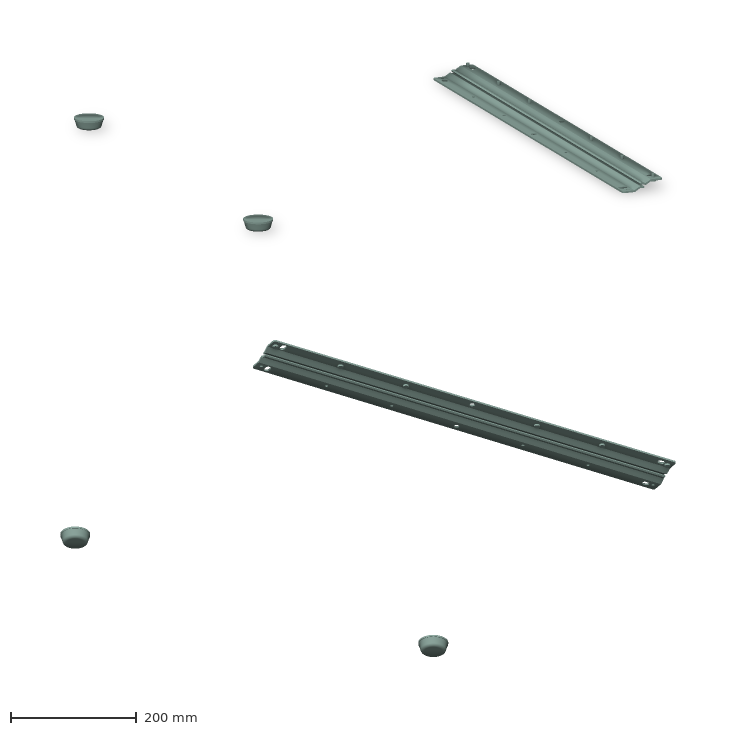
import cadquery as cq
import math

RAIL_LENGTH = 744.0
RAIL_WIDTH = 69.0
RAIL_HEIGHT = 18.0
RAIL_BACK_Y = 684.5
SHEET_THICKNESS = 3.0
CORNER_RADIUS = 4.0
BEND_Y = 14.0
SLOPE_ANGLE = math.radians(30)
SLOPE_LENGTH = 11.0
JOGGLE_ANGLE = math.radians(45)
LIP_LENGTH = 2.0
LIP_INSET = 2.0

RAIL_CENTRE_Y = RAIL_BACK_Y - RAIL_WIDTH / 2
RAIL_CENTRE_Z = RAIL_HEIGHT / 2
FLAT_Z = (RAIL_HEIGHT - SHEET_THICKNESS) / 2

SLOPE_GAP = 2 * (BEND_Y * math.sin(SLOPE_ANGLE) - FLAT_Z * math.cos(SLOPE_ANGLE))
LIP_OFFSET = SLOPE_GAP + SHEET_THICKNESS

HOLE_EDGE_DISTANCE = 10.5
HOLE_DIAMETER = 9.0
END_SLOT_X = 350.0
LONG_SLOT_LENGTH = 13.0
CROSS_SLOT_LENGTH = 15.0

STUD_END_X = 362.0
STUD_PITCH = 120.5
STUDS_PER_HALF = 3
STUD_EDGE_DISTANCE = 13.0
STUD_DIAMETER = 5.0
STUD_TOP_Z = 24.0
STUD_HEAD_DIAMETER = 10.0
STUD_HEAD_HEIGHT = 3.0
SMALL_HOLE_DIAMETER = 5.0

BUTTON_X = 331.0
FLANGE_DIAMETER = 47.5
FLANGE_THICKNESS = 3.0
BUTTON_HEIGHT = 17.0
BODY_TOP_DIAMETER = 46.0
BODY_DRAFT = math.radians(15)
BODY_FILLET = 5.0

stud_xs = [
    side * (STUD_END_X - n * STUD_PITCH)
    for side in (-1, 1)
    for n in range(STUDS_PER_HALF)
]


def sheet_sides(path, thickness):
    """The two side lines of a sheet whose middle follows the path, mitred at the bends."""
    headings = [math.atan2(z1 - z0, y1 - y0) for (y0, z0), (y1, z1) in zip(path, path[1:])]
    before = [headings[0]] + headings
    after = headings + [headings[-1]]
    left = []
    right = []
    for (y, z), heading_in, heading_out in zip(path, before, after):
        reach = thickness / 2 / math.cos((heading_out - heading_in) / 2)
        mitre = (heading_in + heading_out + math.pi) / 2
        dy = reach * math.cos(mitre)
        dz = reach * math.sin(mitre)
        left.append((y + dy, z + dz))
        right.append((y - dy, z - dz))
    return left, right


def on_slope(along, above):
    """Point (y, z) reached down the slope from the bend, then square to the slope."""
    y = BEND_Y - along * math.cos(SLOPE_ANGLE) - above * math.sin(SLOPE_ANGLE)
    z = FLAT_Z - along * math.sin(SLOPE_ANGLE) + above * math.cos(SLOPE_ANGLE)
    return y, z


def cut_mounting_holes(sheet):
    holes = (
        cq.Workplane("XY")
        .workplane(offset=-RAIL_HEIGHT)
        .center(0, RAIL_WIDTH / 2 - HOLE_EDGE_DISTANCE)
        .circle(HOLE_DIAMETER / 2)
        .moveTo(-END_SLOT_X, 0)
        .slot2D(LONG_SLOT_LENGTH, HOLE_DIAMETER)
        .moveTo(END_SLOT_X, 0)
        .slot2D(CROSS_SLOT_LENGTH, HOLE_DIAMETER, 90)
        .extrude(2 * RAIL_HEIGHT)
    )
    return sheet.cut(holes)


def shorten_lip(sheet, lip_start_y):
    """Cut both ends of everything on the lip side of lip_start_y."""
    notch = cq.Workplane("XY").box(2 * LIP_INSET, RAIL_WIDTH, 2 * RAIL_HEIGHT)
    for side in (-1, 1):
        sheet = sheet.cut(notch.translate((side * RAIL_LENGTH / 2, lip_start_y - RAIL_WIDTH / 2, 0)))
    return sheet


def make_sheet():
    """Sheet about the rail centre: flat at +Y, slope down toward -Y, joggle up, lip along the slope."""
    joggle_run = LIP_OFFSET / math.tan(JOGGLE_ANGLE)
    lip_start = SLOPE_LENGTH + joggle_run
    path = [
        (RAIL_WIDTH / 2, FLAT_Z),
        (BEND_Y, FLAT_Z),
        on_slope(SLOPE_LENGTH, 0),
        on_slope(lip_start, LIP_OFFSET),
        on_slope(lip_start + LIP_LENGTH, LIP_OFFSET),
    ]
    lower_side, upper_side = sheet_sides(path, SHEET_THICKNESS)
    sheet = (
        cq.Workplane("YZ")
        .polyline(lower_side + upper_side[::-1])
        .close()
        .extrude(RAIL_LENGTH / 2, both=True)
        .faces(">Y")
        .edges("|Z")
        .fillet(CORNER_RADIUS)
    )
    joggle_corner_y = lower_side[2][0]
    return cut_mounting_holes(shorten_lip(sheet, joggle_corner_y))


def make_upper_sheet():
    sheet = make_sheet().translate((0, RAIL_CENTRE_Y, RAIL_CENTRE_Z))
    spots = [(x, RAIL_BACK_Y - STUD_EDGE_DISTANCE) for x in stud_xs]
    head_bottom = RAIL_HEIGHT - SHEET_THICKNESS - STUD_HEAD_HEIGHT
    plane = cq.Workplane("XY").workplane(offset=head_bottom).pushPoints(spots)
    heads = plane.circle(STUD_HEAD_DIAMETER / 2).extrude(STUD_HEAD_HEIGHT)
    shanks = plane.circle(STUD_DIAMETER / 2).extrude(STUD_TOP_Z - head_bottom)
    return sheet.union(heads).union(shanks)


def make_lower_sheet():
    sheet = make_sheet().rotate((0, 0, 0), (1, 0, 0), 180)
    sheet = sheet.translate((0, RAIL_CENTRE_Y, RAIL_CENTRE_Z))
    spots = [(x, RAIL_BACK_Y - RAIL_WIDTH + STUD_EDGE_DISTANCE) for x in stud_xs]
    holes = cq.Workplane("XY").pushPoints(spots).circle(SMALL_HOLE_DIAMETER / 2).extrude(RAIL_HEIGHT)
    return sheet.cut(holes)


def make_button(x):
    """Thin flange on a tapered body with a rounded lower edge."""
    body_height = BUTTON_HEIGHT - FLANGE_THICKNESS
    body_top_radius = BODY_TOP_DIAMETER / 2
    body_bottom_radius = body_top_radius - body_height * math.tan(BODY_DRAFT)
    half_section = [
        (0, 0),
        (body_bottom_radius, 0),
        (body_top_radius, body_height),
        (FLANGE_DIAMETER / 2, body_height),
        (FLANGE_DIAMETER / 2, BUTTON_HEIGHT),
        (0, BUTTON_HEIGHT),
    ]
    button = cq.Workplane("XZ").polyline(half_section).close().revolve(360, (0, 0), (0, 1))
    return button.faces("<Z").edges().fillet(BODY_FILLET).translate((x, 0, 0))


upper_sheet = make_upper_sheet()
lower_sheet = make_lower_sheet()
buttons = [make_button(side * BUTTON_X) for side in (-1, 1)]

result = cq.Compound.makeCompound(
    [
        upper_sheet.solids().val(),
        lower_sheet.solids().val(),
        *(button.solids().val() for button in buttons),
    ]
)